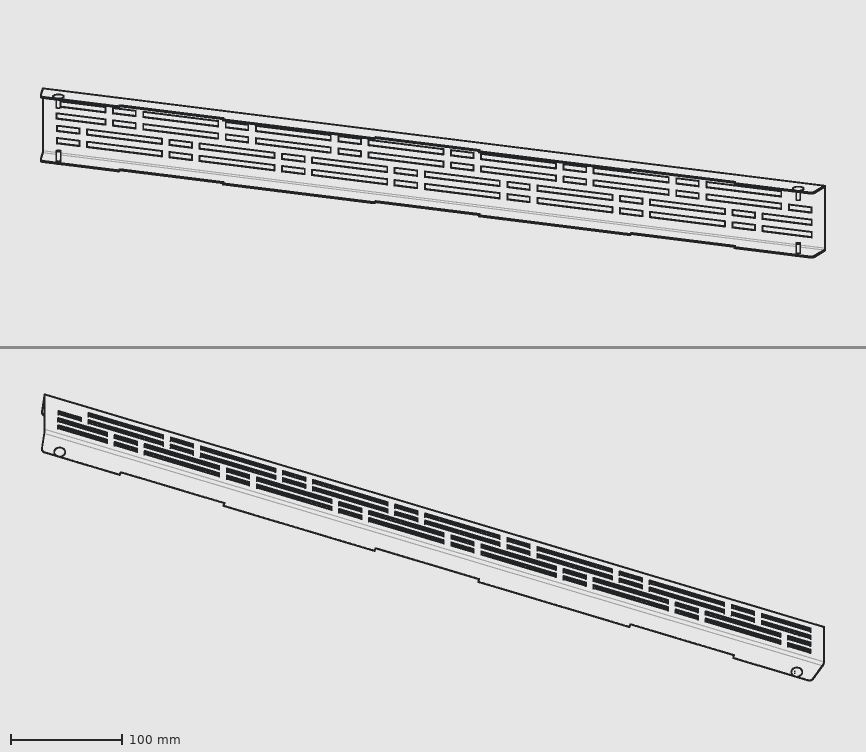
import cadquery as cq
import math

LENGTH = 743.0
CHANNEL_HEIGHT = 63.0
SHEET = 1.35
BEND_RADIUS = 2.7
FLANGE_FLAT = 19.0
END_TAPER = 4.5
CORNER_RADIUS = 4.0

DEPTH = FLANGE_FLAT + BEND_RADIUS
BACK = DEPTH / 2
FRONT = -DEPTH / 2
HALF_LENGTH = LENGTH / 2
HALF_HEIGHT = CHANNEL_HEIGHT / 2

CUTOUT_LENGTH = 99.0
CUTOUT_DEPTH = 3.0
CUTOUT_PITCH = 243.0
CUTOUT_COUNT = 3

SLOT_HEIGHT = 5.0
SLOT_ROW_PITCH = 12.0
SLOT_ROWS = 4
LONG_SLOT = 71.0
SHORT_SLOT = 21.5
SLOT_PITCH = 107.0
SLOT_FIELD_END = 359.0
ROW_SHIFT = SLOT_PITCH / 4

STUD_X = 351.5
STUD_Y = -6.0
HEAD_RADIUS = 4.9
HEAD_HEIGHT = 1.5
SHANK_RADIUS = 2.0
SHANK_LENGTH = 10.5


def slot_spans(direction):
    """Start and end of each slot in a row; direction -1 is an upper row, 1 a lower row."""
    spans = []
    reach = math.ceil(SLOT_FIELD_END / SLOT_PITCH)
    for step in range(-reach, reach + 1):
        long_centre = direction * ROW_SHIFT + step * SLOT_PITCH
        short_centre = long_centre + SLOT_PITCH / 2
        for centre, length in ((long_centre, LONG_SLOT), (short_centre, SHORT_SLOT)):
            start = max(centre - length / 2, -SLOT_FIELD_END)
            end = min(centre + length / 2, SLOT_FIELD_END)
            if end > start:
                spans.append((start, end))
    return sorted(spans)


def slot_cutters():
    """Boxes that cut every slot through the web."""
    cutters = []
    for row in range(SLOT_ROWS):
        row_z = (row - (SLOT_ROWS - 1) / 2) * SLOT_ROW_PITCH
        spans = slot_spans(-1 if row_z > 0 else 1)
        if row == SLOT_ROWS - 1:
            spans = spans[:-1]
        for start, end in spans:
            box = cq.Workplane("XY").box(end - start, 4 * SHEET, SLOT_HEIGHT)
            cutters.append(box.translate(((start + end) / 2, BACK, row_z)).val())
    return cutters


def folded_sheet():
    """C-shaped channel with rounded folds."""
    outer = (
        cq.Workplane("XY")
        .box(LENGTH, DEPTH, CHANNEL_HEIGHT)
        .edges("|X and >Y")
        .fillet(BEND_RADIUS)
    )
    inner = (
        cq.Workplane("XY")
        .box(LENGTH, DEPTH, CHANNEL_HEIGHT - 2 * SHEET)
        .edges("|X and >Y")
        .fillet(BEND_RADIUS - SHEET)
        .translate((0, -SHEET, 0))
    )
    return outer.cut(inner)


def flange_outline():
    """Plan outline shared by both flanges: tapered ends and cutouts along the free edge."""
    front_half = HALF_LENGTH - END_TAPER
    taper_start = BACK - SHEET
    outline = (
        cq.Workplane("XY")
        .polyline([
            (-HALF_LENGTH, BACK),
            (HALF_LENGTH, BACK),
            (HALF_LENGTH, taper_start),
            (front_half, FRONT),
            (-front_half, FRONT),
            (-HALF_LENGTH, taper_start),
        ])
        .close()
        .extrude(HALF_HEIGHT, both=True)
        .edges("|Z and <Y")
        .fillet(CORNER_RADIUS)
    )
    cutouts = (
        cq.Workplane("XY")
        .center(0, FRONT)
        .rarray(CUTOUT_PITCH, 7.5, CUTOUT_COUNT, 1)
        .rect(CUTOUT_LENGTH, 2 * CUTOUT_DEPTH)
        .extrude(HALF_HEIGHT, both=True)
    )
    return outline.cut(cutouts)


def make_stud(x, side):
    """Stud for the top flange (side 1) or the bottom flange (side -1)."""
    tip_z = HALF_HEIGHT - SHANK_LENGTH
    top_z = HALF_HEIGHT + HEAD_HEIGHT
    dome_radius = (HEAD_RADIUS**2 + HEAD_HEIGHT**2) / (2 * HEAD_HEIGHT)
    half_angle = math.asin(HEAD_RADIUS / dome_radius) / 2
    dome_middle = (
        dome_radius * math.sin(half_angle),
        top_z - dome_radius * (1 - math.cos(half_angle)),
    )
    profile = (
        cq.Workplane("XZ")
        .moveTo(0, top_z)
        .threePointArc(dome_middle, (HEAD_RADIUS, HALF_HEIGHT))
        .lineTo(SHANK_RADIUS, HALF_HEIGHT)
        .lineTo(SHANK_RADIUS, tip_z)
        .lineTo(0, tip_z)
        .close()
    )
    stud = profile.revolve(360, (0, 0, 0), (0, 1, 0))
    if side < 0:
        stud = stud.mirror("XY")
    return stud.translate((x, STUD_Y, 0))


def stud_holes():
    """Cylinders that clear the shanks through both flanges."""
    return (
        cq.Workplane("XY")
        .pushPoints([(-STUD_X, STUD_Y), (STUD_X, STUD_Y)])
        .circle(SHANK_RADIUS)
        .extrude(HALF_HEIGHT, both=True)
    )


channel = folded_sheet().intersect(flange_outline()).cut(stud_holes())
channel = channel.cut(cq.Workplane(cq.Compound.makeCompound(slot_cutters())))

studs = [make_stud(x, side).val() for x in (-STUD_X, STUD_X) for side in (1, -1)]

result = cq.Compound.makeCompound([channel.val(), *studs])